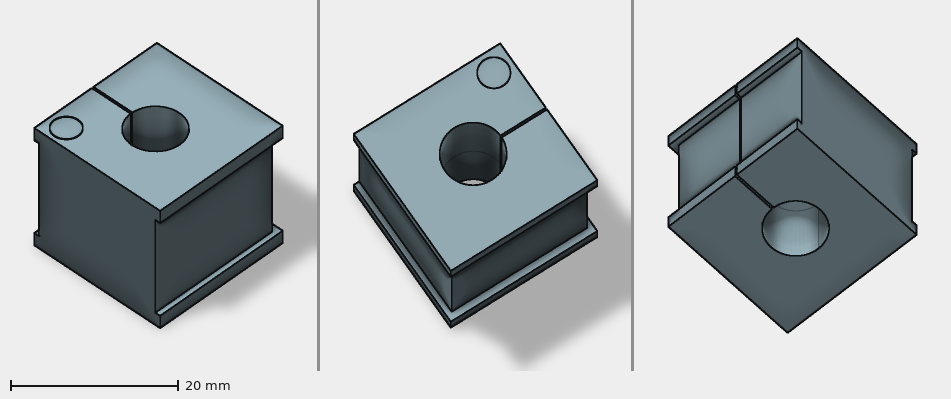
import cadquery as cq

side = 21.0
height = 19.0

flange_thickness = 2.0
side_inset = 0.8
back_inset = 1.0

bore_diameter = 8.0
bore_from_front = 10.0
bore_y = bore_from_front - side / 2
slit_width = 0.3

mark_diameter = 4.0
mark_from_edges = 2.7
mark_depth = 0.1


def flanged_block():
    """Body flush with the flanges at the front and recessed on the other sides."""
    body_height = height - 2 * flange_thickness
    body = cq.Workplane("XY").box(side - 2 * side_inset, side - back_inset, height)
    body = body.translate((0, -back_inset / 2, 0))
    flange = cq.Workplane("XY").box(side, side, flange_thickness)
    flange_z = (body_height + flange_thickness) / 2
    for z in (-flange_z, flange_z):
        body = body.union(flange.translate((0, 0, z)))
    return body


def bore():
    return cq.Workplane("XY").center(0, bore_y).circle(bore_diameter / 2).extrude(height / 2, both=True)


def slit():
    """Full-height cut from the -X side to the bore axis."""
    return cq.Workplane("XY").box(side / 2, slit_width, height).translate((-side / 4, bore_y, 0))


def mark_recess():
    corner_offset = mark_from_edges - side / 2
    floor = cq.Workplane("XY").workplane(offset=height / 2 - mark_depth)
    return floor.center(corner_offset, corner_offset).circle(mark_diameter / 2).extrude(mark_depth)


result = flanged_block().cut(bore()).cut(slit()).cut(mark_recess())